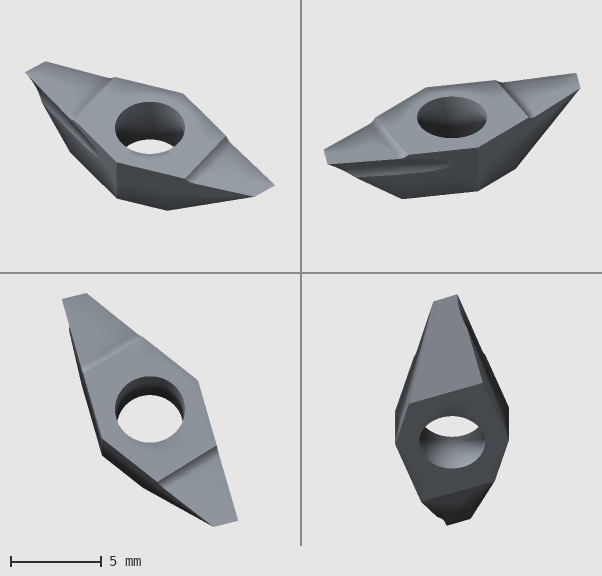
import cadquery as cq
import math

length = 15.0
width = 6.0
thickness = 3.0
side_angle = math.radians(35)
relief_angle = math.radians(35)
obtuse_corner_x = 0.93
tip_drop = 0.08

hole_diameter = 3.65
hole_mouth_diameter = 3.86
flare_depth = thickness / 2

breaker_angle = math.radians(17.8)
rake_angle = math.radians(2.0)
step_top_x = -2.98
step_width = 0.48

flute_radius = 1.0
flute_depth = 0.14
flute_tilt = math.radians(2.8)
flute_bend_x = -3.55
flute_bend_z = 2.22
run_out_length = 3.05

half_length = length / 2
half_width = width / 2
tip_z = thickness - tip_drop
margin = 2.0
clearance_factor = 2


def make_blank():
    side_run = width / math.tan(side_angle)
    far_corner_x = obtuse_corner_x + side_run
    outline = (
        cq.Workplane("XY")
        .polyline([
            (-far_corner_x, -half_width),
            (obtuse_corner_x, -half_width),
            (far_corner_x, half_width),
            (-obtuse_corner_x, half_width),
        ])
        .close()
        .extrude(thickness)
    )
    half_base = half_length - tip_z / math.tan(relief_angle)
    half_top = half_length + tip_drop / math.tan(relief_angle)
    end_profile = (
        cq.Workplane("XZ")
        .polyline([
            (-half_base, 0),
            (half_base, 0),
            (half_top, thickness),
            (-half_top, thickness),
        ])
        .close()
        .extrude(half_width, both=True)
    )
    return outline.intersect(end_profile)


def make_hole():
    """Revolve the hole profile; the flare is an arc tangent to the cylinder."""
    radius = hole_diameter / 2
    return (
        cq.Workplane("XZ")
        .moveTo(0, 0)
        .lineTo(radius, 0)
        .lineTo(radius, thickness - flare_depth)
        .tangentArcPoint((hole_mouth_diameter / 2, thickness), relative=False)
        .lineTo(0, thickness)
        .close()
        .revolve(360, (0, 0), (0, 1))
    )


def make_chip_breaker():
    """Cutting shape for the left end, extruded along the step."""
    normal_x = math.cos(breaker_angle)
    normal_y = math.sin(breaker_angle)
    section = cq.Plane(origin=(0, 0, 0), xDir=(normal_x, normal_y, 0), normal=(normal_y, -normal_x, 0))

    tip = -half_length * normal_x - half_width * normal_y
    step_top = step_top_x * normal_x - half_width * normal_y
    step_foot = step_top - step_width
    outer = tip - margin

    def rake_z(distance):
        return tip_z - (distance - tip) * math.tan(rake_angle)

    return (
        cq.Workplane(section)
        .moveTo(outer, rake_z(outer))
        .lineTo(step_foot, rake_z(step_foot))
        .tangentArcPoint((step_top, thickness), relative=False)
        .lineTo(step_top, thickness + margin)
        .lineTo(outer, thickness + margin)
        .close()
        .extrude(width, both=True)
    )


def make_flute():
    """Cutting shape for the front side: a cylinder that bends out of the wall."""
    floor_radius = (run_out_length**2 + flute_depth**2) / (2 * flute_depth)
    bend_radius = floor_radius - flute_radius
    run_out_angle = math.degrees(math.asin(run_out_length / floor_radius))
    sweep_angle = clearance_factor * run_out_angle
    straight_length = half_length + flute_bend_x + margin

    axis_y = -half_width - flute_radius + flute_depth
    bend_plane = cq.Plane(
        origin=(flute_bend_x, axis_y, flute_bend_z),
        xDir=(0, -1, 0),
        normal=(math.cos(flute_tilt), 0, -math.sin(flute_tilt)),
    )
    straight = cq.Workplane(bend_plane).circle(flute_radius).extrude(-straight_length)
    run_out = (
        cq.Workplane(bend_plane)
        .circle(flute_radius)
        .revolve(sweep_angle, (bend_radius, 0), (bend_radius, 1))
    )
    return straight.union(run_out)


result = make_blank().cut(make_hole())

for turn in (0, 180):
    for cutter in (make_chip_breaker(), make_flute()):
        result = result.cut(cutter.rotate((0, 0, 0), (0, 0, 1), turn))